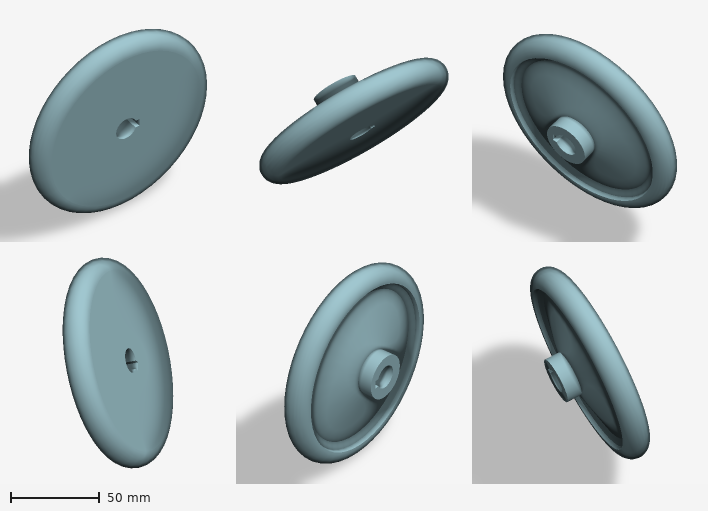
import cadquery as cq

wheel_diameter = 120.0
depth = 30.0
rim_width = 16.0
hub_diameter = 27.0
hub_length = 9.0
web_slope = 0.29
web_radius = 46.1
recess_mouth_radius = 50.9
recess_floor_radius = 50.0
recess_wall_depth = 2.4
bore_diameter = 14.0
keyway_width = 5.0
keyway_reach = 9.2

rim_radius = rim_width / 2
rim_center_radius = wheel_diameter / 2 - rim_radius
rim_center_x = depth - rim_radius
hub_radius = hub_diameter / 2
web_edge_x = hub_length + web_slope * (web_radius - hub_radius)

mouth_offset = rim_center_radius - recess_mouth_radius
mouth_x = rim_center_x - (rim_radius**2 - mouth_offset**2) ** 0.5


def wheel_body():
    """Revolve the hub, conical web, recess wall and half-round rim."""
    profile = (
        cq.Workplane("XY")
        .moveTo(0, 0)
        .lineTo(0, hub_radius)
        .lineTo(hub_length, hub_radius)
        .lineTo(web_edge_x, web_radius)
        .lineTo(mouth_x + recess_wall_depth, recess_floor_radius)
        .lineTo(mouth_x, recess_mouth_radius)
        .threePointArc((rim_center_x, wheel_diameter / 2), (depth, rim_center_radius))
        .lineTo(depth, 0)
        .close()
    )
    return profile.revolve(360, (0, 0, 0), (1, 0, 0))


def keyed_bore():
    """Through bore with its keyway on the +Y side."""
    bore = cq.Workplane("YZ").circle(bore_diameter / 2).extrude(depth)
    keyway = (
        cq.Workplane("YZ")
        .center(keyway_reach / 2, 0)
        .rect(keyway_reach, keyway_width)
        .extrude(depth)
    )
    return bore.union(keyway)


result = wheel_body().cut(keyed_bore())